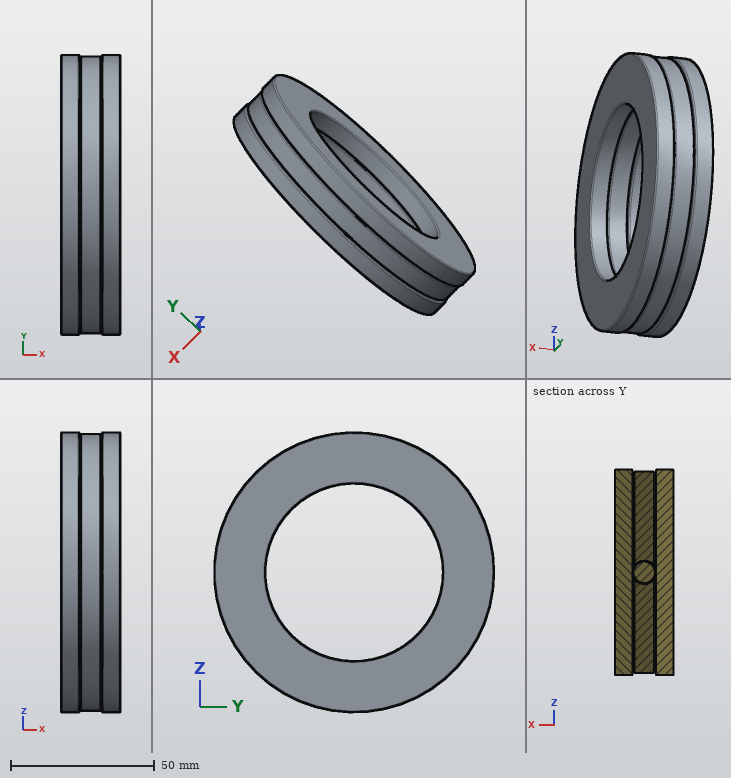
import cadquery as cq

overall_width = 20.6
washer_outer_diameter = 97.6
washer_bore = 61.9
washer_edge = 0.5

cage_outer_diameter = 96.7
cage_bore = 63.0
cage_width = 6.8
cage_edge = 0.4

roller_diameter = 7.9
roller_inner_radius = 32.8
roller_outer_radius = 47.1
roller_edge = 0.5
roller_count = 4

washer_width = (overall_width - roller_diameter) / 2
roller_length = roller_outer_radius - roller_inner_radius


def make_ring(start_x, width, outer_diameter, bore, edge):
    """Flat ring about the X axis with all four edges rounded."""
    return (
        cq.Workplane("YZ", origin=(start_x, 0, 0))
        .circle(outer_diameter / 2)
        .circle(bore / 2)
        .extrude(width)
        .edges()
        .fillet(edge)
    )


def make_radial_cylinder(angle):
    """Roller-sized cylinder lying radially, turned about the X axis from +Z."""
    return (
        cq.Workplane("XY", origin=(0, 0, roller_inner_radius))
        .circle(roller_diameter / 2)
        .extrude(roller_length)
        .rotate((0, 0, 0), (1, 0, 0), angle)
    )


def make_roller(angle):
    """Roller with rounded end edges."""
    return make_radial_cylinder(angle).edges("%CIRCLE").fillet(roller_edge)


def make_cage(angles):
    """Cage ring with one pocket per roller, open on both flat faces."""
    cage = make_ring(-cage_width / 2, cage_width, cage_outer_diameter, cage_bore, cage_edge)
    for angle in angles:
        cage = cage.cut(make_radial_cylinder(angle))
    return cage


roller_angles = [index * 360 / roller_count for index in range(roller_count)]

washers = [
    make_ring(start_x, washer_width, washer_outer_diameter, washer_bore, washer_edge)
    for start_x in (-overall_width / 2, roller_diameter / 2)
]
cage = make_cage(roller_angles)
rollers = [make_roller(angle) for angle in roller_angles]

result = cq.Compound.makeCompound(
    [washer.val() for washer in washers]
    + [cage.val()]
    + [roller.val() for roller in rollers]
)